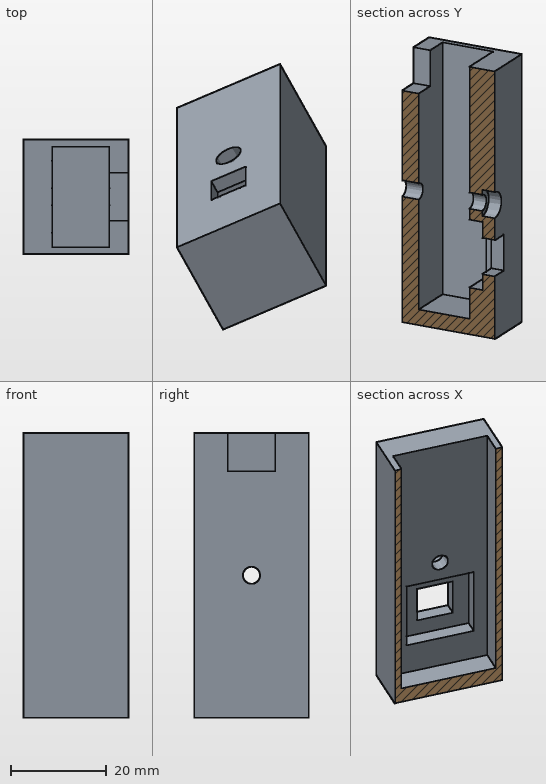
import cadquery as cq

width_x = 22.0
depth_y = 24.0
height = 59.6

pocket_x = 12.0
side_wall = 1.5
right_wall = 4.0
floor_thickness = 3.6

notch_y = 10.0
notch_depth = 8.0

hole_diameter = 3.5
counterbore_diameter = 5.7
counterbore_depth = 3.0

window_side = 8.0
window_bottom = 14.0
window_depth = 3.0
chamber_side = 15.0

left_face = -width_x / 2
right_face = width_x / 2


def box_between(x_min, x_max, size_y, z_min, z_max):
    """Box centred on Y = 0 between the given X and Z limits."""
    return cq.Workplane("XY").box(
        x_max - x_min, size_y, z_max - z_min, centered=(False, True, False)
    ).translate((x_min, 0, z_min))


def bore_along_x(diameter, length):
    """Cylinder at mid height, starting on the -X face."""
    plane = cq.Workplane("YZ", origin=(left_face, 0, height / 2))
    return plane.circle(diameter / 2).extrude(length)


block = box_between(left_face, right_face, depth_y, 0, height)

pocket_right = right_face - right_wall
pocket_left = pocket_right - pocket_x
pocket = box_between(
    pocket_left, pocket_right, depth_y - 2 * side_wall, floor_thickness, height
)
notch = box_between(pocket_right, right_face, notch_y, height - notch_depth, height)
window = box_between(
    left_face, left_face + window_depth, window_side, window_bottom, window_bottom + window_side
)
chamber_bottom = window_bottom - (chamber_side - window_side) / 2
chamber = box_between(
    left_face + window_depth, pocket_left, chamber_side, chamber_bottom, chamber_bottom + chamber_side
)
through_hole = bore_along_x(hole_diameter, width_x)
counterbore = bore_along_x(counterbore_diameter, counterbore_depth)

result = block
for cavity in (pocket, notch, window, chamber, through_hole, counterbore):
    result = result.cut(cavity)